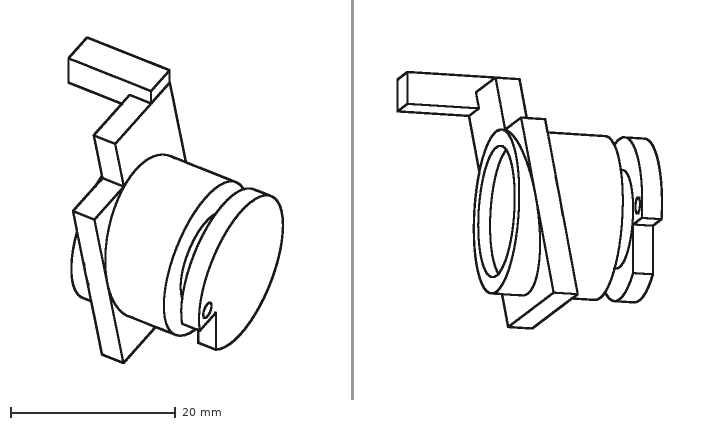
import cadquery as cq
import math

body_diameter = 20.0
body_radius = body_diameter / 2
body_length = 13.1
recess_radius = 8.0
recess_depth = 1.5
neck_radius = 6.0
neck_length = 2.45
disc_thickness = 2.52
disc_start = body_length + neck_length
total_length = disc_start + disc_thickness

notch_side_y = -6.0
notch_top_z = -1.95
hole_radius = 1.0
hole_y = -8.0

plate_top = 16.0
plate_bottom = -12.0
plate_thickness = 3.0
plate_lean = math.radians(10.8)
plate_bottom_x = 4.35
step_y = -3.0
step_z = 9.57

arm_front = -9.65
arm_length = 11.7
arm_width = 4.45
arm_height = 4.0
arm_top = 18.0


def box_between(x_range, y_range, z_range):
    """Box spanning the given (low, high) pair along each axis."""
    sizes = [high - low for low, high in (x_range, y_range, z_range)]
    corner = (x_range[0], y_range[0], z_range[0])
    return cq.Workplane("XY").box(*sizes, centered=False).translate(corner)


def cylinder_along_x(radius, start, length, y=0):
    """Cylinder parallel to X whose axis passes through Z = 0."""
    return cq.Workplane("YZ", origin=(start, y, 0)).circle(radius).extrude(length)


def make_plate():
    """Leaning plate with its upper -Y corner cut away."""
    shift = (plate_top - plate_bottom) * math.tan(plate_lean)
    width_x = plate_thickness / math.cos(plate_lean)
    top_x = plate_bottom_x - shift
    profile = [
        (plate_bottom_x, plate_bottom),
        (plate_bottom_x + width_x, plate_bottom),
        (top_x + width_x, plate_top),
        (top_x, plate_top),
    ]
    plate = (
        cq.Workplane("XZ")
        .polyline(profile)
        .close()
        .extrude(body_radius, both=True)
    )
    corner = box_between(
        (top_x, plate_bottom_x + width_x), (-body_radius, step_y), (step_z, plate_top)
    )
    return plate.cut(corner)


def make_disc():
    """Rear disc with a square notch at its lower -Y side and a small through hole."""
    disc = cylinder_along_x(body_radius, disc_start, disc_thickness)
    notch = box_between(
        (disc_start, total_length), (-body_radius, notch_side_y), (-body_radius, notch_top_z)
    )
    hole = cylinder_along_x(hole_radius, disc_start, disc_thickness, hole_y)
    return disc.cut(notch).cut(hole)


body = cylinder_along_x(body_radius, 0, body_length)
neck = cylinder_along_x(neck_radius, body_length, neck_length)
arm = box_between(
    (arm_front, arm_front + arm_length),
    (body_radius - arm_width, body_radius),
    (arm_top - arm_height, arm_top),
)
recess = cylinder_along_x(recess_radius, 0, recess_depth)

result = body.union(neck).union(make_disc()).union(make_plate()).union(arm).cut(recess)